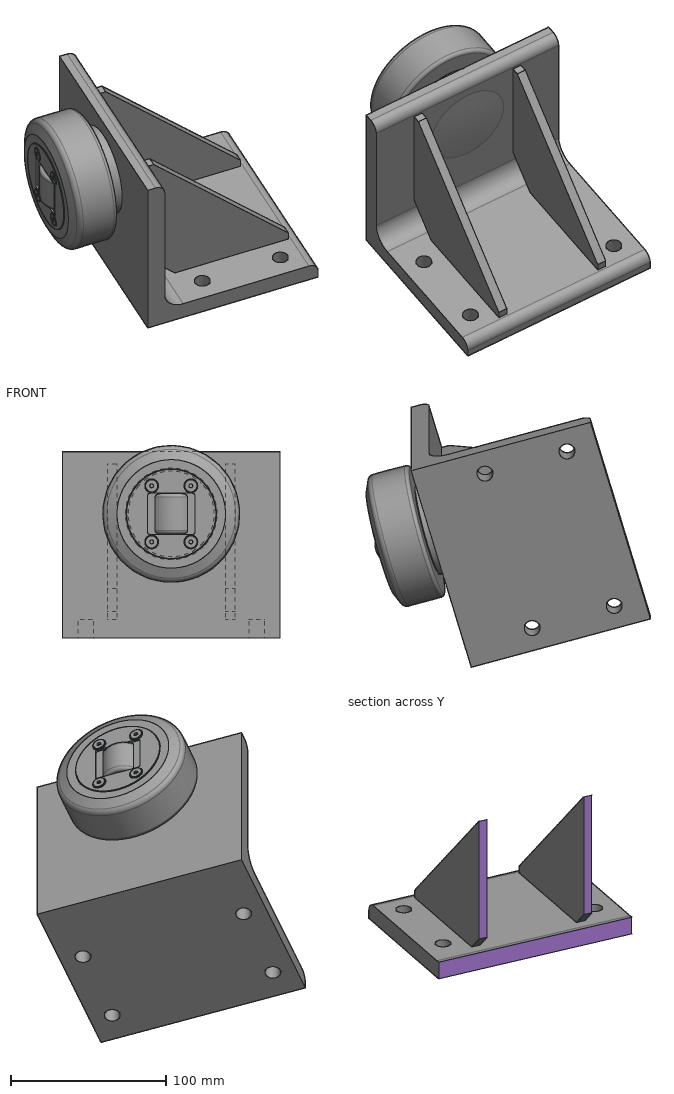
import cadquery as cq
import math

WIDTH = 140.0
LEG = 120.0
LEG_THICKNESS = 12.0
ROOT_RADIUS = 13.0
TOE_RADIUS = 6.5

BOLT_DIAMETER = 10.2
BOLT_SPACING_X = 110.0
BOLT_SPACING_Y = 55.0
BOLT_EDGE_DISTANCE = 20.0

RIB_THICKNESS = 6.0
RIB_SPACING = 76.0
RIB_SETBACK = 8.0
RIB_END_HEIGHT = 5.1
RIB_ROOT_CHAMFER = 20.0

ROLLER_HEIGHT = 80.0
ROLLER_RADIUS = 44.1
CROWN = 0.2
NECK_RADIUS = 29.5
NECK_LENGTH = 9.0
PIN_DIAMETER = 55.3
ROLLER_BACK = 9.5
ROLLER_FRONT = 40.3
BACK_FILLET = 2.5
CROWN_END = 33.8
CONE_OUTER_RADIUS = 41.5
CONE_INNER_RADIUS = 35.0
CONE_DEPTH = 3.0

GAP_OUTER_RADIUS = 29.0
CAP_RADIUS = 28.7
CAP_FRONT = 40.8
GAP_DEPTH = 1.6

SCREW_DIAMETER = 7.9
SCREW_RECESS_DIAMETER = 8.9
SCREW_RECESS_DEPTH = 1.0
SCREW_SPACING_X = 25.3
SCREW_SPACING_Z = 36.0
SCREW_FRONT = 41.3
SOCKET_DIAMETER = 2.5
SOCKET_DEPTH = 1.3

POCKET_WIDTH = 30.5
POCKET_HEIGHT = 26.5
POCKET_FLOOR = 39.5
POCKET_CORNER_RADIUS = 1.6
SIDE_ROLLER_RADIUS = 15.1
SIDE_ROLLER_LENGTH = 25.9
SIDE_ROLLER_FILLET = 2.3
SIDE_ROLLER_FRONT = 44.0
SIDE_ROLLER_CROWN = 0.2

DOME_RADIUS = PIN_DIAMETER / 2
DOME_HEIGHT = 1.1


def front_plane(distance):
    """Plane facing -Y, centred on the roller axis, at a distance in front of the bracket."""
    return cq.Workplane("XZ", origin=(0, -distance, ROLLER_HEIGHT))


def sphere_radius(base_radius, height):
    """Radius of the sphere whose cap has this base radius and height."""
    return (base_radius**2 + height**2) / (2 * height)


def make_bracket():
    profile = (
        cq.Workplane("YZ")
        .polyline([
            (0, 0),
            (LEG, 0),
            (LEG, LEG_THICKNESS),
            (LEG_THICKNESS, LEG_THICKNESS),
            (LEG_THICKNESS, LEG),
            (0, LEG),
        ])
        .close()
    )
    angle = profile.extrude(WIDTH / 2, both=True)
    root = cq.selectors.NearestToPointSelector((0, LEG_THICKNESS, LEG_THICKNESS))
    base_toe = cq.selectors.NearestToPointSelector((0, LEG, LEG_THICKNESS))
    upright_toe = cq.selectors.NearestToPointSelector((0, LEG_THICKNESS, LEG))
    angle = angle.edges(root).fillet(ROOT_RADIUS)
    angle = angle.edges(base_toe).fillet(TOE_RADIUS)
    angle = angle.edges(upright_toe).fillet(TOE_RADIUS)
    bolt_centre_y = LEG - BOLT_EDGE_DISTANCE - BOLT_SPACING_Y / 2
    bolts = (
        cq.Workplane("XY", origin=(0, bolt_centre_y, 0))
        .rarray(BOLT_SPACING_X, BOLT_SPACING_Y, 2, 2)
        .circle(BOLT_DIAMETER / 2)
        .extrude(LEG_THICKNESS)
    )
    return angle.cut(bolts)


def make_rib(centre_x):
    inner = LEG_THICKNESS
    outer = LEG - RIB_SETBACK
    return (
        cq.Workplane("YZ", origin=(centre_x, 0, 0))
        .polyline([
            (inner + RIB_ROOT_CHAMFER, inner),
            (outer, inner),
            (outer, inner + RIB_END_HEIGHT),
            (inner + RIB_END_HEIGHT, outer),
            (inner, outer),
            (inner, inner + RIB_ROOT_CHAMFER),
        ])
        .close()
        .extrude(RIB_THICKNESS / 2, both=True)
    )


def make_roller():
    """Neck, bare pin, crowned roller, ring gap and cap, turned as one profile of (radius, distance)."""
    edge_radius = ROLLER_RADIUS - CROWN
    crown_start = ROLLER_BACK + BACK_FILLET
    crown_middle = (crown_start + CROWN_END) / 2
    fillet_centre_radius = edge_radius - BACK_FILLET
    fillet_offset = BACK_FILLET * math.sqrt(0.5)
    fillet_middle = (fillet_centre_radius + fillet_offset, crown_start - fillet_offset)
    profile = (
        cq.Workplane("XY")
        .moveTo(0, 0)
        .lineTo(NECK_RADIUS, 0)
        .lineTo(NECK_RADIUS, NECK_LENGTH)
        .lineTo(PIN_DIAMETER / 2, NECK_LENGTH)
        .lineTo(PIN_DIAMETER / 2, ROLLER_BACK)
        .lineTo(fillet_centre_radius, ROLLER_BACK)
        .threePointArc(fillet_middle, (edge_radius, crown_start))
        .threePointArc((ROLLER_RADIUS, crown_middle), (edge_radius, CROWN_END))
        .tangentArcPoint((CONE_OUTER_RADIUS, ROLLER_FRONT - CONE_DEPTH), relative=False)
        .lineTo(CONE_INNER_RADIUS, ROLLER_FRONT)
        .lineTo(GAP_OUTER_RADIUS, ROLLER_FRONT)
        .lineTo(GAP_OUTER_RADIUS, ROLLER_FRONT - GAP_DEPTH)
        .lineTo(CAP_RADIUS, ROLLER_FRONT - GAP_DEPTH)
        .lineTo(CAP_RADIUS, CAP_FRONT)
        .lineTo(0, CAP_FRONT)
        .close()
    )
    turned = profile.revolve(360, (0, 0, 0), (0, 1, 0))
    return turned.rotate((0, 0, 0), (0, 0, 1), 180).translate((0, 0, ROLLER_HEIGHT))


def make_pocket():
    return (
        front_plane(POCKET_FLOOR)
        .rect(POCKET_WIDTH, POCKET_HEIGHT)
        .extrude(CAP_FRONT - POCKET_FLOOR)
        .edges("|Y")
        .fillet(POCKET_CORNER_RADIUS)
    )


def make_side_roller():
    axis_distance = SIDE_ROLLER_FRONT - SIDE_ROLLER_RADIUS
    edge_radius = SIDE_ROLLER_RADIUS - SIDE_ROLLER_CROWN
    half_length = SIDE_ROLLER_LENGTH / 2
    roller = (
        cq.Workplane("XZ")
        .moveTo(0, -half_length)
        .lineTo(edge_radius, -half_length)
        .threePointArc((SIDE_ROLLER_RADIUS, 0), (edge_radius, half_length))
        .lineTo(0, half_length)
        .close()
        .revolve(360, (0, 0, 0), (0, 1, 0))
        .edges("%CIRCLE and (>Z or <Z)")
        .fillet(SIDE_ROLLER_FILLET)
    )
    return roller.translate((0, -axis_distance, ROLLER_HEIGHT))


def make_dome():
    profile = (
        cq.Workplane("XY", origin=(0, LEG_THICKNESS, ROLLER_HEIGHT))
        .lineTo(DOME_RADIUS, 0)
        .radiusArc((0, DOME_HEIGHT), -sphere_radius(DOME_RADIUS, DOME_HEIGHT))
        .close()
    )
    return profile.revolve(360, (0, 0, 0), (0, 1, 0))


def at_screws(distance):
    """Screw positions on a front plane."""
    return front_plane(distance).rarray(SCREW_SPACING_X, SCREW_SPACING_Z, 2, 2)


def make_screw_recesses():
    recess_floor = CAP_FRONT - SCREW_RECESS_DEPTH
    return at_screws(recess_floor).circle(SCREW_RECESS_DIAMETER / 2).extrude(SCREW_RECESS_DEPTH)


def make_screw_heads():
    recess_floor = CAP_FRONT - SCREW_RECESS_DEPTH
    return at_screws(recess_floor).circle(SCREW_DIAMETER / 2).extrude(SCREW_FRONT - recess_floor)


def make_sockets():
    return at_screws(SCREW_FRONT - SOCKET_DEPTH).circle(SOCKET_DIAMETER / 2).extrude(SOCKET_DEPTH)


result = make_bracket()
for side in (-1, 1):
    result = result.union(make_rib(side * RIB_SPACING / 2))
result = (
    result.union(make_dome())
    .union(make_roller())
    .cut(make_pocket())
    .union(make_side_roller())
    .cut(make_screw_recesses())
    .union(make_screw_heads())
    .cut(make_sockets())
)